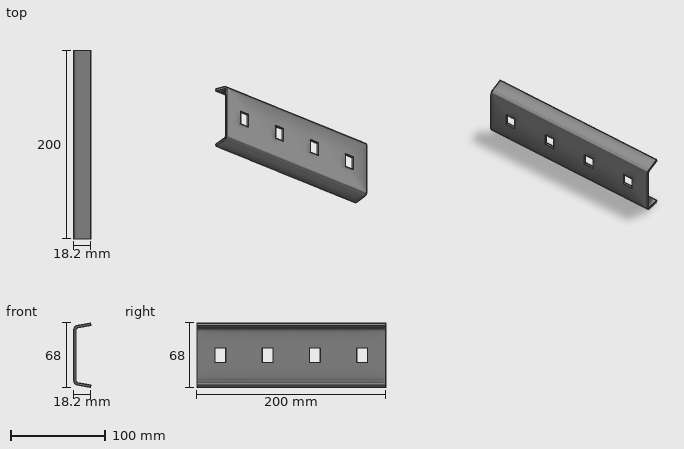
import cadquery as cq
import math

length = 200.0
depth = 18.2
height = 68.0
outer_radius = 5.0
flare = math.radians(10)

hole_width = 11.0
hole_height = 15.0
hole_pitch = 50.0
hole_count = 4

thickness = outer_radius / 2
inner_radius = outer_radius - thickness

tip_outer = (depth - thickness * math.sin(flare), height / 2)
tip_inner = (depth, height / 2 - thickness * math.cos(flare))

bend_end_x = outer_radius * (1 - math.sin(flare))
bend_end_z = tip_outer[1] - (tip_outer[0] - bend_end_x) * math.tan(flare)
bend_x = outer_radius
bend_z = bend_end_z - outer_radius * math.cos(flare)

web_angle = math.pi
flange_angle = math.pi / 2 + flare
middle_angle = (web_angle + flange_angle) / 2


def bend_point(radius, angle):
    """Point on the upper bend at the given radius and direction."""
    return (bend_x + radius * math.cos(angle), bend_z + radius * math.sin(angle))


def mirrored(point):
    """Matching point on the lower half of the section."""
    return (point[0], -point[1])


def bend_arc(radius):
    """Start, middle and end of the upper bend, from web to flange."""
    return [bend_point(radius, angle) for angle in (web_angle, middle_angle, flange_angle)]


def make_channel():
    outer_start, outer_middle, outer_end = bend_arc(outer_radius)
    inner_start, inner_middle, inner_end = bend_arc(inner_radius)
    section = (
        cq.Workplane("XZ")
        .moveTo(*mirrored(outer_start))
        .lineTo(*outer_start)
        .threePointArc(outer_middle, outer_end)
        .lineTo(*tip_outer)
        .lineTo(*tip_inner)
        .lineTo(*inner_end)
        .threePointArc(inner_middle, inner_start)
        .lineTo(*mirrored(inner_start))
        .threePointArc(mirrored(inner_middle), mirrored(inner_end))
        .lineTo(*mirrored(tip_inner))
        .lineTo(*mirrored(tip_outer))
        .lineTo(*mirrored(outer_end))
        .threePointArc(mirrored(outer_middle), mirrored(outer_start))
        .close()
    )
    return section.extrude(length / 2, both=True)


def make_hole_cutters():
    return (
        cq.Workplane("YZ")
        .rarray(hole_pitch, 2, hole_count, 1)
        .rect(hole_width, hole_height)
        .extrude(thickness, both=True)
    )


result = make_channel().cut(make_hole_cutters())